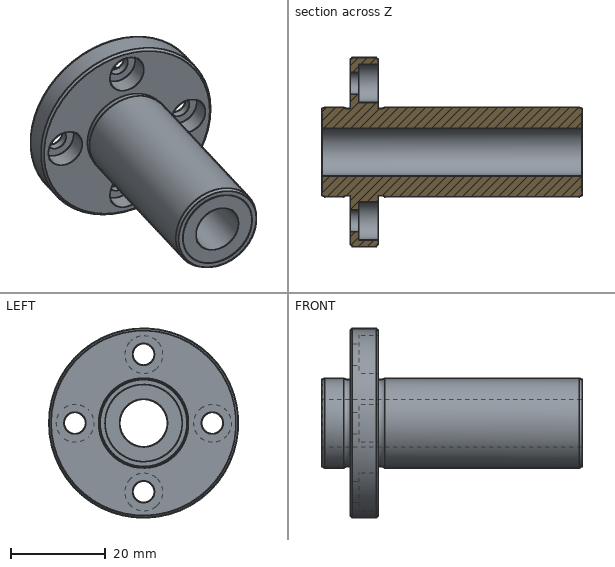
import cadquery as cq
import math

length = 55.0
body_diameter = 19.0
bore_diameter = 10.0

end_chamfer_length = 0.7
end_chamfer_depth = 0.35

flange_diameter = 40.0
flange_start = 6.0
flange_thickness = 6.0
flange_chamfer = 0.5
flange_end = flange_start + flange_thickness

groove_width = 1.4
groove_depth = 0.3
groove_floor_offset = 0.9

seal_diameter = 16.3
seal_recess = 0.1

hole_count = 4
hole_diameter = 4.5
hole_circle_diameter = 29.0
counterbore_diameter = 8.0
counterbore_depth = 4.1

body_radius = body_diameter / 2
flange_radius = flange_diameter / 2


def cylinder(diameter, start, end):
    """Solid cylinder on the X axis between two X positions."""
    return cq.Workplane("YZ", origin=(start, 0, 0)).circle(diameter / 2).extrude(end - start)


def turned_blank():
    """Revolve the outer half profile: body, flange, chamfers and relief grooves."""
    end_radius = body_radius - end_chamfer_depth
    flange_face_radius = flange_radius - flange_chamfer
    groove_floor = body_radius - groove_depth
    pilot_edge = flange_start - groove_width
    sleeve_edge = flange_end + groove_width

    groove_radius = (groove_floor_offset**2 + groove_depth**2) / (2 * groove_depth)
    rise_run = groove_width - groove_floor_offset
    rise = groove_radius - math.sqrt(groove_radius**2 - rise_run**2)
    groove_end_radius = groove_floor + rise

    profile = (
        cq.Workplane("XY")
        .lineTo(0, end_radius)
        .lineTo(end_chamfer_length, body_radius)
        .lineTo(pilot_edge, body_radius)
        .threePointArc((pilot_edge + groove_floor_offset, groove_floor), (flange_start, groove_end_radius))
        .lineTo(flange_start, flange_face_radius)
        .lineTo(flange_start + flange_chamfer, flange_radius)
        .lineTo(flange_end - flange_chamfer, flange_radius)
        .lineTo(flange_end, flange_face_radius)
        .lineTo(flange_end, groove_end_radius)
        .threePointArc((sleeve_edge - groove_floor_offset, groove_floor), (sleeve_edge, body_radius))
        .lineTo(length - end_chamfer_length, body_radius)
        .lineTo(length, end_radius)
        .lineTo(length, 0)
        .close()
    )
    return profile.revolve(360, (0, 0, 0), (1, 0, 0))


def bore_and_seal_recesses():
    """Through bore with a shallow round recess at each end."""
    bore = cylinder(bore_diameter, 0, length)
    near_recess = cylinder(seal_diameter, 0, seal_recess)
    far_recess = cylinder(seal_diameter, length - seal_recess, length)
    return bore.union(near_recess).union(far_recess)


def mounting_holes():
    """Counterbored holes on a circle, the first one on the +Y side."""
    hole = cylinder(hole_diameter, flange_start, flange_end)
    counterbore = cylinder(counterbore_diameter, flange_end - counterbore_depth, flange_end)
    first_hole = hole.union(counterbore).translate((0, hole_circle_diameter / 2, 0))
    holes = cq.Workplane("XY")
    for index in range(hole_count):
        holes = holes.add(first_hole.rotate((0, 0, 0), (1, 0, 0), index * 360 / hole_count))
    return holes.combine()


result = turned_blank().cut(bore_and_seal_recesses()).cut(mounting_holes())